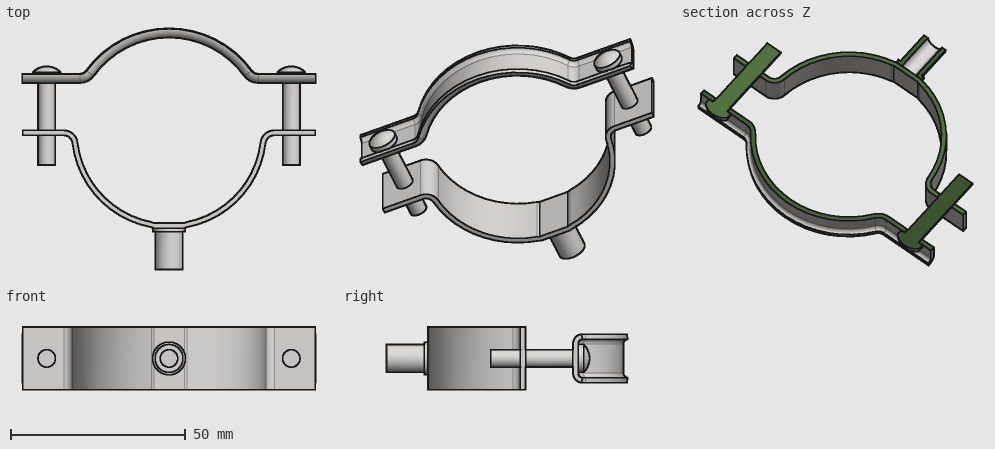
import cadquery as cq
import math


sheet = 1.5
screw_offset = 35.0
shank_diameter = 5.0

strap_radius = 26.35
strap_center_y = -0.4
seat_y = -28.0
strap_half_length = 41.9
strap_width = 18.0
strap_ear_top = 0.0
strap_bend_radius = 4.0
seat_half_width = 4.4
jog_length = 0.7

channel_radius = 26.6
channel_center_y = -0.1
channel_half_length = 42.0
channel_width = 14.0
channel_flange_radius = 2.85
channel_flange_turn = 83.0
channel_ear_front = 13.5
channel_bend_radius = 5.0

shank_length = 25.0
head_diameter = 8.0
head_rim_height = 1.6
head_height = 3.3

sleeve_end = -39.9
sleeve_diameter = 8.0
sleeve_bore = 5.0
collar_diameter = 9.4
collar_height = 1.0


def arc_middle(center, radius, start, end):
    """Point halfway along the short arc from start to end."""
    toward_x = (start[0] + end[0]) / 2 - center[0]
    toward_y = (start[1] + end[1]) / 2 - center[1]
    stretch = radius / math.hypot(toward_x, toward_y)
    return (center[0] + toward_x * stretch, center[1] + toward_y * stretch)


def mirrored(point):
    return (-point[0], point[1])


def cylinder_along_y(diameter, x, low, high):
    """Cylinder parallel to Y, from y = low to y = high."""
    return (
        cq.Workplane("XZ", origin=(x, high, 0))
        .circle(diameter / 2)
        .extrude(high - low)
    )


def bend_points(ear_y, ear_bend_radius, round_center_y, round_radius, depth):
    """Right-hand bend between an ear and a round stretch, at a depth below the pipe-side face.

    Returns bend start on the ear, bend middle and bend end on the round stretch.
    The sign of the bend radius tells on which side of the ear face its center lies.
    """
    center_y = ear_y + ear_bend_radius
    center_distance = round_radius + abs(ear_bend_radius)
    center = (math.sqrt(center_distance**2 - (center_y - round_center_y)**2), center_y)
    share = (round_radius + depth) / center_distance
    start = (center[0], ear_y - depth)
    end = (center[0] * share, round_center_y + (center_y - round_center_y) * share)
    middle = arc_middle(center, abs(ear_bend_radius) - depth, start, end)
    return start, middle, end


def strap_face(depth):
    """Points of one strap face, right half, at a depth below the pipe-side face.

    Returns bend start, bend middle, bend end, arc middle, arc end and flat end.
    """
    bend_start, bend_middle, bend_end = bend_points(
        strap_ear_top, -strap_bend_radius, strap_center_y, strap_radius, depth
    )
    arc_radius = strap_radius + depth
    jog_x = seat_half_width + jog_length
    arc_end = (jog_x, strap_center_y - math.sqrt(arc_radius**2 - jog_x**2))
    round_middle = arc_middle((0, strap_center_y), arc_radius, bend_end, arc_end)
    flat_end = (seat_half_width, seat_y + sheet - depth)
    return bend_start, bend_middle, bend_end, round_middle, arc_end, flat_end


def draw_strap_face(outline, points):
    """Draw one strap face from the bend it starts with to the mirrored bend."""
    bend_start, bend_middle, bend_end, round_middle, arc_end, flat_end = points
    return (
        outline.lineTo(*bend_start)
        .threePointArc(bend_middle, bend_end)
        .threePointArc(round_middle, arc_end)
        .lineTo(*flat_end)
        .lineTo(*mirrored(flat_end))
        .lineTo(*mirrored(arc_end))
        .threePointArc(mirrored(round_middle), mirrored(bend_end))
        .threePointArc(mirrored(bend_middle), mirrored(bend_start))
    )


def make_lower_strap():
    inner = strap_face(0)
    outer = strap_face(sheet)
    outline = cq.Workplane("XY").moveTo(strap_half_length, strap_ear_top)
    outline = draw_strap_face(outline, inner)
    outline = outline.lineTo(-strap_half_length, strap_ear_top)
    outline = outline.lineTo(-strap_half_length, strap_ear_top - sheet)
    outline = draw_strap_face(outline, [mirrored(point) for point in outer])
    outline = outline.lineTo(strap_half_length, strap_ear_top - sheet).close()
    return outline.extrude(strap_width / 2, both=True)


def make_upper_path():
    """Line of the channel's pipe-side face, from the left ear to the right ear."""
    bend_start, bend_middle, bend_end = bend_points(
        channel_ear_front, channel_bend_radius, channel_center_y, channel_radius, 0
    )
    return (
        cq.Workplane("XY")
        .moveTo(-channel_half_length, channel_ear_front)
        .lineTo(*mirrored(bend_start))
        .threePointArc(mirrored(bend_middle), mirrored(bend_end))
        .threePointArc((0, channel_center_y + channel_radius), bend_end)
        .threePointArc(bend_middle, bend_start)
        .lineTo(channel_half_length, channel_ear_front)
    )


def make_upper_strap():
    inner_radius = channel_flange_radius - sheet
    web_half = channel_width / 2 - channel_flange_radius

    def flange_point(radius, turn, side):
        """Point on a flange curve, turned by an angle in degrees away from the web."""
        angle = math.radians(turn)
        rise = channel_flange_radius - radius * math.cos(angle)
        return (rise, side * (web_half + radius * math.sin(angle)))

    def flange_curve(radius, side):
        """Start at the web, middle and free end of one flange curve."""
        turns = (0, channel_flange_turn / 2, channel_flange_turn)
        return [flange_point(radius, turn, side) for turn in turns]

    upper_outer = flange_curve(channel_flange_radius, 1)
    upper_inner = flange_curve(inner_radius, 1)
    lower_outer = flange_curve(channel_flange_radius, -1)
    lower_inner = flange_curve(inner_radius, -1)
    section = (
        cq.Workplane("YZ", origin=(-channel_half_length, channel_ear_front, 0))
        .moveTo(*lower_outer[0])
        .lineTo(*upper_outer[0])
        .threePointArc(upper_outer[1], upper_outer[2])
        .lineTo(*upper_inner[2])
        .threePointArc(upper_inner[1], upper_inner[0])
        .lineTo(*lower_inner[0])
        .threePointArc(lower_inner[1], lower_inner[2])
        .lineTo(*lower_outer[2])
        .threePointArc(lower_outer[1], lower_outer[0])
        .close()
    )
    return section.sweep(make_upper_path())


def make_screw(x):
    """Screw with a domed head that rests on the back of the channel web."""
    seat = channel_ear_front + sheet
    rim_top = seat + head_rim_height
    head_top = seat + head_height
    head_radius = head_diameter / 2
    dome_height = head_height - head_rim_height
    dome_radius = (head_radius**2 + dome_height**2) / (2 * dome_height)
    dome_center = (0, head_top - dome_radius)
    dome_middle = arc_middle(dome_center, dome_radius, (head_radius, rim_top), (0, head_top))
    shank_radius = shank_diameter / 2
    half_section = (
        cq.Workplane("XY")
        .moveTo(0, seat - shank_length)
        .lineTo(shank_radius, seat - shank_length)
        .lineTo(shank_radius, seat)
        .lineTo(head_radius, seat)
        .lineTo(head_radius, rim_top)
        .threePointArc(dome_middle, (0, head_top))
        .close()
    )
    return half_section.revolve(360, (0, 0, 0), (0, 1, 0)).translate((x, 0, 0))


def make_sleeve():
    tube = cylinder_along_y(sleeve_diameter, 0, sleeve_end, seat_y)
    collar = cylinder_along_y(collar_diameter, 0, seat_y - collar_height, seat_y)
    bore = cylinder_along_y(sleeve_bore, 0, sleeve_end, seat_y)
    return tube.union(collar).cut(bore)


lower_strap = make_lower_strap()
upper_strap = make_upper_strap()
screws = []
for screw_x in (-screw_offset, screw_offset):
    screw = make_screw(screw_x)
    lower_strap = lower_strap.cut(screw)
    upper_strap = upper_strap.cut(screw)
    screws.append(screw.val())
sleeve = make_sleeve()

result = cq.Compound.makeCompound([lower_strap.val(), upper_strap.val(), *screws, sleeve.val()])